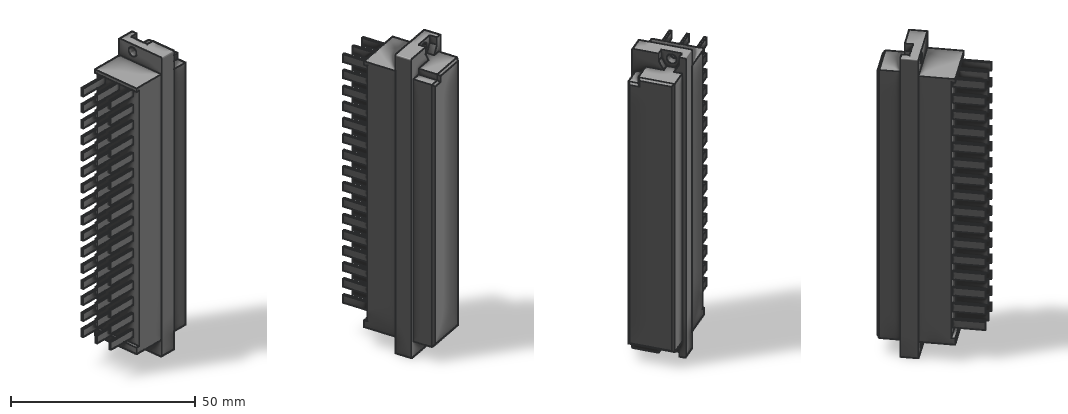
import cadquery as cq
import math

flange_width = 15.6
flange_thickness = 5.0
flange_height = 94.8
flange_corner_radius = 0.5

housing_width = 15.2
housing_depth = 10.05
housing_height = 84.2
recess_depth = 1.0
recess_height = 81.0
recess_center_z = 0.5

block_width = 13.4
block_depth = 6.5
block_height = 84.9
block_chamfer = 0.7
block_step_width = 2.8
block_step_drop = 1.9

hole_diameter = 2.8
hole_x = -2.8
hole_z = 45.0
pocket_depth = 2.3

pin_columns = 3
pin_rows = 16
pin_column_pitch = 5.0
pin_row_span = 76.2
pin_row_pitch = pin_row_span / (pin_rows - 1)
pin_width = 0.7
pin_height = 2.5
pin_reach = 8.0
pin_center_z = 1.3


def box(width, height, y_start, y_end, z=0):
    """Box centred on X = 0 and the given z that runs along Y from y_start to y_end."""
    depth = y_end - y_start
    return cq.Workplane("XY").box(width, depth, height).translate((0, y_start + depth / 2, z))


def make_flange():
    plate = box(flange_width, flange_height, 0, flange_thickness)
    return plate.edges("|Y").fillet(flange_corner_radius)


def make_housing():
    housing = box(housing_width, housing_height, -housing_depth, 0)
    recess = box(
        housing_width,
        recess_height,
        -housing_depth,
        recess_depth - housing_depth,
        z=recess_center_z,
    )
    return housing.cut(recess)


def make_block():
    right = block_width / 2
    top = block_height / 2
    step_x = right - block_step_width
    step_z = top - block_step_drop
    outline = [(-right, -top), (right, -top), (right, step_z), (step_x, step_z), (step_x, top), (-right, top)]
    block = (
        cq.Workplane("XZ", origin=(0, flange_thickness, 0))
        .polyline(outline)
        .close()
        .extrude(-block_depth)
    )
    return block.faces(">Y").edges().chamfer(block_chamfer)


def make_mounting_cut():
    """Upper hole and its nut pocket: lower half of a hexagon, open straight up."""
    hole = (
        cq.Workplane("XZ")
        .center(hole_x, hole_z)
        .circle(hole_diameter / 2)
        .extrude(-flange_thickness)
    )
    floor_z = block_height / 2
    nut_side = (hole_z - floor_z) / math.cos(math.pi / 6)
    open_z = flange_height / 2
    outline = [
        (hole_x - nut_side, open_z),
        (hole_x - nut_side, hole_z),
        (hole_x - nut_side / 2, floor_z),
        (hole_x + nut_side / 2, floor_z),
        (hole_x + nut_side, hole_z),
        (hole_x + nut_side, open_z),
    ]
    pocket = (
        cq.Workplane("XZ", origin=(0, flange_thickness, 0))
        .polyline(outline)
        .close()
        .extrude(pocket_depth)
    )
    return hole.union(pocket)


def make_pins():
    """Grid of flat pins standing on the recess floor."""
    root_y = recess_depth - housing_depth
    tip_y = -housing_depth - pin_reach
    return (
        cq.Workplane("XZ", origin=(0, root_y, pin_center_z))
        .rarray(pin_column_pitch, pin_row_pitch, pin_columns, pin_rows)
        .rect(pin_width, pin_height)
        .extrude(root_y - tip_y)
    )


upper_cut = make_mounting_cut()
lower_cut = upper_cut.mirror("XY")
flange = make_flange().cut(upper_cut).cut(lower_cut)
result = flange.union(make_housing()).union(make_block()).union(make_pins())